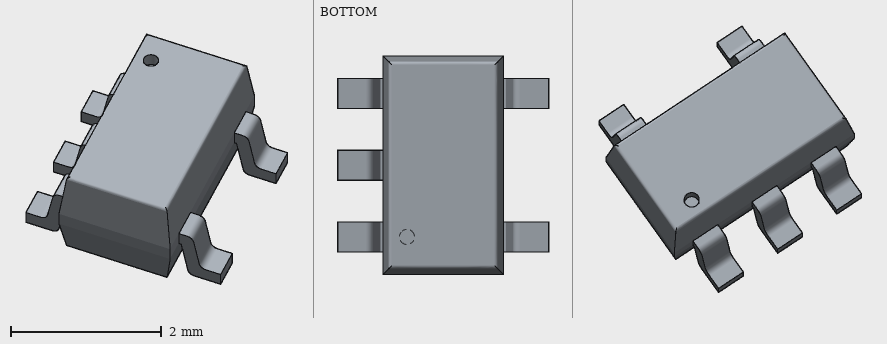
import cadquery as cq
import math

body_width = 1.6
body_length = 2.9
top_z = 1.45
standoff = 0.05
taper_inset = 0.08
rim_radius = 0.04

marker_diameter = 0.2
marker_depth = 0.2
marker_x = -0.48

lead_span = 2.8
lead_width = 0.4
lead_thickness = 0.2
lead_pitch = 0.95
lead_top_z = 0.765
lead_lean = math.radians(11)
shoulder_length = 0.197
bend_radius = 0.1
inner_shoulder_radius = 0.012

band_bottom_z = lead_top_z - lead_thickness
body_side_x = body_width / 2
marker_y = lead_pitch


def tapered_half(start_z, end_z):
    """Frustum from the full band outline at start_z to the inset outline at end_z."""
    return (
        cq.Workplane("XY", origin=(0, 0, start_z))
        .rect(body_width, body_length)
        .workplane(offset=end_z - start_z)
        .rect(body_width - 2 * taper_inset, body_length - 2 * taper_inset)
        .loft(ruled=True)
    )


def make_housing():
    band = (
        cq.Workplane("XY", origin=(0, 0, band_bottom_z))
        .rect(body_width, body_length)
        .extrude(lead_thickness)
    )
    upper = tapered_half(lead_top_z, top_z).faces(">Z").edges().fillet(rim_radius)
    lower = tapered_half(band_bottom_z, standoff).faces("<Z").edges().fillet(rim_radius)
    marker = (
        cq.Workplane("XY", origin=(marker_x, marker_y, top_z - marker_depth))
        .circle(marker_diameter / 2)
        .extrude(marker_depth)
    )
    return band.union(upper).union(lower).cut(marker)


def make_lead(side, center_y):
    """Lead on the +X (side = 1) or -X (side = -1) face of the housing."""
    tip_x = lead_span / 2
    shoulder_x = body_side_x + shoulder_length
    leg_width = lead_thickness / math.cos(lead_lean)

    def outer_x(z):
        return shoulder_x + (lead_top_z - z) * math.tan(lead_lean)

    def inner_x(z):
        return outer_x(z) - leg_width

    outer_shoulder = (shoulder_x, lead_top_z)
    foot_bend = (outer_x(lead_thickness), lead_thickness)
    heel = (inner_x(0), 0)
    inner_shoulder = (inner_x(band_bottom_z), band_bottom_z)
    profile = [
        (body_side_x, lead_top_z),
        outer_shoulder,
        foot_bend,
        (tip_x, lead_thickness),
        (tip_x, 0),
        heel,
        inner_shoulder,
        (body_side_x, band_bottom_z),
    ]
    lead = (
        cq.Workplane("XZ", origin=(0, center_y + lead_width / 2, 0))
        .polyline([(side * x, z) for x, z in profile])
        .close()
        .extrude(lead_width)
    )

    def round_bend(shape, corner, radius):
        x, z = corner
        edge_center = (side * x, center_y, z)
        return shape.edges(cq.NearestToPointSelector(edge_center)).fillet(radius)

    for corner in (outer_shoulder, foot_bend, heel):
        lead = round_bend(lead, corner, bend_radius)
    return round_bend(lead, inner_shoulder, inner_shoulder_radius)


housing = make_housing()

lead_rows = {-1: (-1, 0, 1), 1: (-1, 1)}
leads = []
for side, rows in lead_rows.items():
    for row in rows:
        leads.append(make_lead(side, row * lead_pitch).val())

result = cq.Compound.makeCompound([housing.val(), *leads])